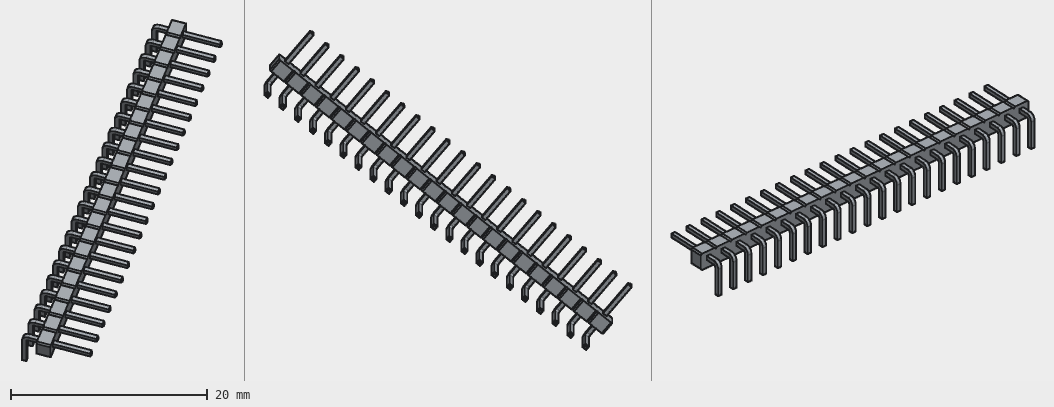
import cadquery as cq

PIN_COUNT = 22
STRIP_LENGTH = 44.0
PITCH = STRIP_LENGTH / PIN_COUNT

OVERALL_WIDTH = 7.45
OVERALL_HEIGHT = 4.65

STRIP_WIDTH = 1.5
STRIP_HEIGHT = PITCH
STRIP_OFFSET = 1.8
STRIP_CHAMFER = 0.18

PIN_SIZE = 0.5
PIN_DROP = 0.55
INNER_BEND_RADIUS = 0.2
OUTER_BEND_RADIUS = INNER_BEND_RADIUS + PIN_SIZE
TIP_CHAMFER = 0.15

STRIP_TOP = OVERALL_HEIGHT
PIN_TOP = STRIP_TOP - PIN_DROP
PIN_BOTTOM = PIN_TOP - PIN_SIZE


def make_strip_cell(y):
    """One cell of the carrier strip, bevelled along its four X edges."""
    return (
        cq.Workplane("XY")
        .box(STRIP_WIDTH, PITCH, STRIP_HEIGHT, centered=(False, True, False))
        .edges("|X")
        .chamfer(STRIP_CHAMFER)
        .translate((STRIP_OFFSET, y, STRIP_TOP - STRIP_HEIGHT))
    )


def make_pin():
    """L-shaped square pin with a rounded bend and bevelled tips, centred on Y = 0."""
    return (
        cq.Workplane("XZ")
        .polyline([
            (0, 0),
            (PIN_SIZE, 0),
            (PIN_SIZE, PIN_BOTTOM),
            (OVERALL_WIDTH, PIN_BOTTOM),
            (OVERALL_WIDTH, PIN_TOP),
            (0, PIN_TOP),
        ])
        .close()
        .extrude(PIN_SIZE / 2, both=True)
        .edges(cq.selectors.NearestToPointSelector((0, 0, PIN_TOP)))
        .fillet(OUTER_BEND_RADIUS)
        .edges(cq.selectors.NearestToPointSelector((PIN_SIZE, 0, PIN_BOTTOM)))
        .fillet(INNER_BEND_RADIUS)
        .faces(">X or <Z")
        .edges()
        .chamfer(TIP_CHAMFER)
    )


pin = make_pin()
header = cq.Workplane("XY")
for index in range(PIN_COUNT):
    pin_y = (index - (PIN_COUNT - 1) / 2) * PITCH
    header = header.add(make_strip_cell(pin_y))
    header = header.add(pin.translate((0, pin_y, 0)))

result = cq.Workplane(header.combine().solids().val())